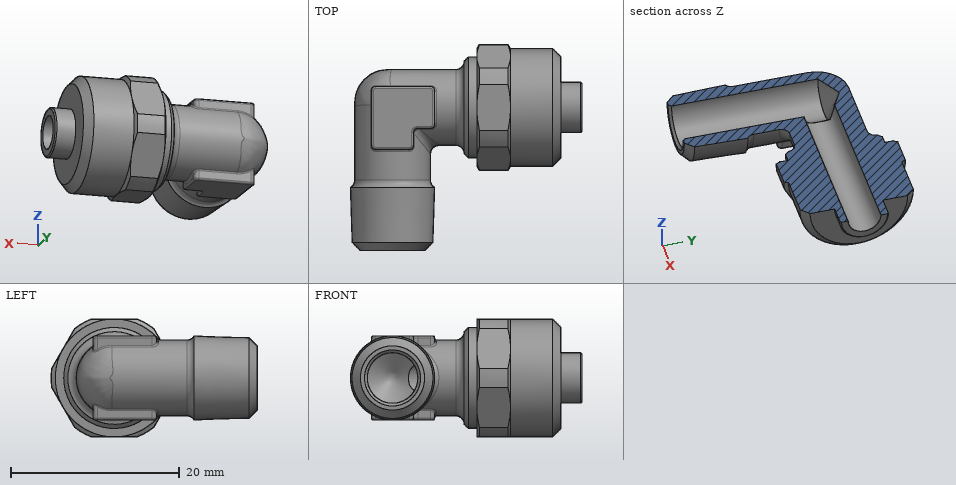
import cadquery as cq
import math


body_radius = 4.5
outer_bend_radius = 4.0
inner_bend_radius = 1.0
flare_radius = 1.0

pad_height = 5.0
pad_short = 2.5
pad_long = 5.0
pad_corner_radius = 0.5
pad_edge_radius = 0.25
pad_root_radius = 0.235
pad_wall_foot = 3.3

arm_length = 17.0
thread_length = 7.5
thread_radius = 5.0
thread_taper = 1 / 32
thread_chamfer = 1.0
thread_start = arm_length - thread_length
thread_flare_angle = math.acos(1 - (thread_radius - body_radius) / flare_radius)
thread_flare_start = thread_start - flare_radius * math.sin(thread_flare_angle)

collar_radius = 6.0
collar_chamfer = 0.5
flare_start = 7.5
nut_start = 10.0
hex_end = 14.0
nut_end = 20.0
nut_chamfer = 1.0
hex_sides = 6
hex_across_flats = 14.0
hex_corner_radius = 7.5
hex_chamfer_angle = math.radians(30)
tube_radius = 3.0
tube_end = 22.5
tube_edge_chamfer = 0.16

thread_bore_radius = 3.0
bore_mouth_chamfer = 0.33
bore_floor = 1.35
drill_half_angle = math.radians(59)
tube_bore_radius = 2.0


def revolved(profile, axis_point):
    """Solid of revolution of an XY profile about the line from the origin to axis_point."""
    return profile.close().revolve(360, (0, 0, 0), axis_point)


def make_pads():
    """L-shaped prism that reaches through the elbow and shows a wrench pad on each side."""
    outline = [
        (-pad_short, pad_short),
        (pad_long, pad_short),
        (pad_long, -pad_short),
        (pad_short, -pad_short),
        (pad_short, -pad_long),
        (-pad_short, -pad_long),
    ]
    prism = cq.Workplane("XY").polyline(outline).close().extrude(pad_height, both=True)
    prism = prism.edges("|Z").fillet(pad_corner_radius)
    return prism.faces("|Z").edges().fillet(pad_edge_radius)


def fillet_mitre(body, centre, radius):
    """Round the mitre edges found in a box around a corner of the elbow."""
    reach = body_radius / 2
    low = (centre[0] - reach, centre[1] - reach, -body_radius)
    high = (centre[0] + reach, centre[1] + reach, body_radius)
    return body.edges(cq.selectors.BoxSelector(low, high)).edges("%ELLIPSE").fillet(radius)


def make_elbow():
    """Two mitred round arms with pads; the pads bound the bend fillets."""
    path = cq.Workplane("XY").moveTo(flare_start, 0).lineTo(0, 0).lineTo(0, -thread_flare_start)
    section_plane = cq.Plane(origin=(flare_start, 0, 0), xDir=(0, 0, 1), normal=(1, 0, 0))
    section = cq.Workplane(section_plane).circle(body_radius)
    elbow = section.sweep(path, transition="right").union(make_pads())
    elbow = fillet_mitre(elbow, (-body_radius, body_radius), outer_bend_radius)
    elbow = fillet_mitre(elbow, (body_radius, -body_radius), inner_bend_radius)
    reach = pad_long + pad_root_radius
    for side in (-1, 1):
        low = (-reach, -reach, side * pad_wall_foot)
        high = (reach, reach, side * body_radius)
        roots = elbow.edges(cq.selectors.BoxSelector(low, high)).edges("not |Z")
        elbow = roots.fillet(pad_root_radius)
    return elbow


def make_threaded_arm():
    """Plain taper-thread blank behind a concave flare."""
    chamfer_start = arm_length - thread_chamfer
    chamfer_radius = thread_radius - thread_taper * (chamfer_start - thread_start)
    profile = (
        cq.Workplane("XY")
        .moveTo(0, -thread_flare_start)
        .lineTo(body_radius, -thread_flare_start)
        .threePointArc(
            (
                body_radius + flare_radius * (1 - math.cos(thread_flare_angle / 2)),
                -thread_flare_start - flare_radius * math.sin(thread_flare_angle / 2),
            ),
            (thread_radius, -thread_start),
        )
        .lineTo(chamfer_radius, -chamfer_start)
        .lineTo(chamfer_radius - thread_chamfer, -arm_length)
        .lineTo(0, -arm_length)
    )
    return revolved(profile, (0, 1, 0))


def make_nut_arm():
    """Flare, collar, nut body and tube end turned about the X axis."""
    flare_end = flare_start + flare_radius
    flare_top = body_radius + flare_radius
    half_turn = math.radians(45)
    nut_radius = hex_across_flats / 2
    profile = (
        cq.Workplane("XY")
        .moveTo(flare_start, 0)
        .lineTo(flare_start, body_radius)
        .threePointArc(
            (
                flare_start + flare_radius * math.sin(half_turn),
                body_radius + flare_radius * (1 - math.cos(half_turn)),
            ),
            (flare_end, flare_top),
        )
        .lineTo(flare_end + collar_chamfer, collar_radius)
        .lineTo(hex_end, collar_radius)
        .lineTo(hex_end, nut_radius)
        .lineTo(nut_end - nut_chamfer, nut_radius)
        .lineTo(nut_end, nut_radius - nut_chamfer)
        .lineTo(nut_end, tube_radius)
        .lineTo(tube_end - tube_edge_chamfer, tube_radius)
        .lineTo(tube_end, tube_radius - tube_edge_chamfer)
        .lineTo(tube_end, 0)
    )
    return revolved(profile, (1, 0, 0))


def make_hexagon():
    """Hexagon with flats facing up and down, its corners turned round and bevelled at both ends."""
    inner_radius = hex_across_flats / 2
    bevel = (hex_corner_radius - inner_radius) * math.tan(hex_chamfer_angle)
    width = hex_end - nut_start
    prism = (
        cq.Workplane("YZ", origin=(nut_start, 0, 0))
        .polygon(hex_sides, hex_across_flats / math.cos(math.pi / hex_sides))
        .extrude(width)
    )
    envelope = revolved(
        cq.Workplane("XY")
        .moveTo(nut_start, 0)
        .lineTo(nut_start, inner_radius)
        .lineTo(nut_start + bevel, hex_corner_radius)
        .lineTo(hex_end - bevel, hex_corner_radius)
        .lineTo(hex_end, inner_radius)
        .lineTo(hex_end, 0),
        (1, 0, 0),
    )
    return prism.intersect(envelope)


def make_bores():
    """Drilled thread bore with a conical end, crossed by the tube bore."""
    tip = bore_floor + thread_bore_radius / math.tan(drill_half_angle)
    mouth_radius = thread_bore_radius + bore_mouth_chamfer
    thread_bore = revolved(
        cq.Workplane("XY")
        .moveTo(0, -arm_length)
        .lineTo(mouth_radius, -arm_length)
        .lineTo(thread_bore_radius, -arm_length + bore_mouth_chamfer)
        .lineTo(thread_bore_radius, bore_floor)
        .lineTo(0, tip),
        (0, 1, 0),
    )
    tube_bore = cq.Workplane("YZ").circle(tube_bore_radius).extrude(tube_end)
    return thread_bore.union(tube_bore)


result = (
    make_elbow()
    .union(make_threaded_arm())
    .union(make_nut_arm())
    .union(make_hexagon())
    .cut(make_bores())
)